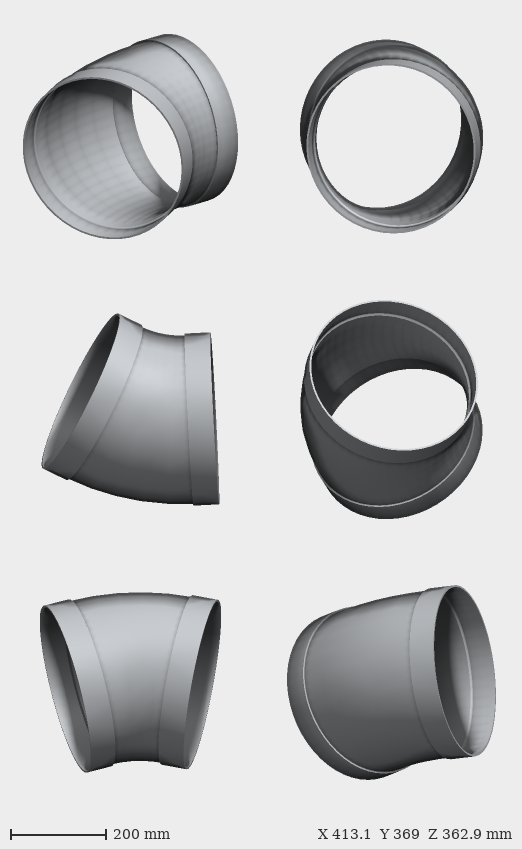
import cadquery as cq

pipe_diameter = 355.0
wall = 3.93
bend_angle = 30.0
collar_length = 54.0

bend_radius = pipe_diameter
collar_diameter = pipe_diameter + 2 * wall
pipe_bore = pipe_diameter - 2 * wall
taper_length = wall


def turn_to_bend_end(body):
    """Carry a body around the bend centre to the upper end of the bend."""
    bend_centre = (bend_radius, 0, 0)
    return body.rotate(bend_centre, (bend_radius, 0, 1), -bend_angle)


def curved_pipe():
    """Bend starting at the origin along +Y and curving towards +X."""
    start_plane = cq.Plane(origin=(0, 0, 0), xDir=(1, 0, 0), normal=(0, 1, 0))
    section = cq.Workplane(start_plane).circle(pipe_diameter / 2).circle(pipe_bore / 2)
    return section.revolve(bend_angle, (bend_radius, 0), (bend_radius, 1))


def socket_end(direction):
    """Collar with an internal taper easing its bore into the bend; direction is +1 or -1 along Y."""
    profile = [
        (pipe_bore / 2, 0),
        (collar_diameter / 2, 0),
        (collar_diameter / 2, direction * collar_length),
        (pipe_diameter / 2, direction * collar_length),
        (pipe_diameter / 2, direction * taper_length),
    ]
    return cq.Workplane("XY").polyline(profile).close().revolve(360, (0, 0), (0, 1))


lower_end = socket_end(-1)
upper_end = turn_to_bend_end(socket_end(1))
result = curved_pipe().union(lower_end).union(upper_end)